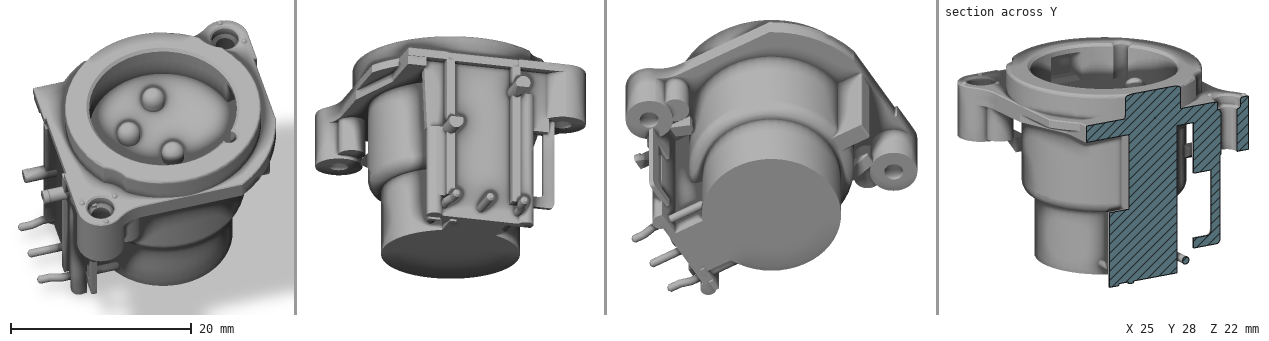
import cadquery as cq
import math

RING_TOP = 2.75
BODY_BOTTOM = -19.05
SHEET_BOTTOM = -19.25

OVERALL_LENGTH = 28.0
FLANGE_SIZE = 25.0
HALF_SIZE = FLANGE_SIZE / 2
FLANGE_SIDE = 10.92
FLANGE_UPPER_Z = -0.95
FLANGE_LOWER_Z = -1.95
EDGE_CHAMFER = 0.1
EAR_RADIUS = 2.6
TRIM_MARGIN = 0.03
ENCLOSING_HALF = HALF_SIZE + TRIM_MARGIN
EAR_OFFSET = HALF_SIZE - EAR_RADIUS
EAR_BOTTOM = -6.25
NECK_END_Y = 5.38
REAR_EDGE_Y = 12.18
REAR_STEP_X = -6.13
LOWER_FRONT_Y = -12.4
CORNER_X = -8.7
FRONT_RECESS_HALF = 4.1
FRONT_RECESS_Y = -12.25
LOWER_CORNER_Y = -6.45
SCREW_HOLE_DIAMETER = 2.1
SCREW_SEAT_DIAMETER = 3.0
SCREW_MOUTH_DIAMETER = 3.4
SCREW_SEAT_DEPTH = 1.12
BUMP_RADIUS = 0.3
BUMP_CIRCLE = 2.15
BUMP_TOP = 0.25

UPPER_RADIUS = 9.13
UPPER_BOTTOM = -11.7
UPPER_FILLET = 1.4
LOWER_RADIUS = 7.7

RING_RADIUS = 10.85
RING_FILLET = 0.35
SOCKET_RADIUS = 8.18
SOCKET_CHAMFER = 0.3
SOCKET_FLOOR = -1.4
SCALLOP_RADIUS = 3.53
KEY_RADIUS = 0.85
KEY_CENTRE = 8.37
PIN_RADIUS = 1.23
PIN_TIP = 0.67
PIN_SPACING_X = 4.03
PIN_FRONT_Y = -3.95

WINDOW_HALF_WIDTH = 2.02
WINDOW_BACK_Y = 10.22
WINDOW_TOP = 1.9
WINDOW_LEDGE_Y = 9.05
WINDOW_LEDGE_Z = -1.05
LATCH_HALF_WIDTH = 0.98
LATCH_BOTTOM = -11.62
LATCH_BACK_Y = 12.07
LATCH_FILLET = 0.25

CORE_HALF_WIDTH = 3.15
WALL_FRONT = -11.3
WALL_BACK = -10.45
WALL_LEFT_TOP = -6.55
WALL_LEFT = -6.2
WALL_RIGHT = 6.1
WALL_RIGHT_TOP = 7.92
WALL_SHOULDER_Z = -7.85
RIB_INNER = 3.33
RIB_OUTER = 4.25
RIB_FRONT = -12.55
RIB_BOTTOM = -16.9
COLUMN_RADIUS = 0.9
COLUMN_FRONT = -12.05
COLUMN_X = 5.25
LEFT_COLUMN_TOP = -8.8
RIGHT_COLUMN_TOP = -3.85

PEG_RADIUS = 0.75
PEG_X = (RIB_INNER + RIB_OUTER) / 2
PEG_END = -14.9
LEFT_PEG_Z = -8.93
RIGHT_PEG_Z = -3.78
PEG_FLAT_START = -13.15
PEG_FLAT_RISE = 0.4
PEG_LIP_LENGTH = 0.73
PEG_LIP_SHIFT = 0.15

CONTACT_RADIUS = 0.45
CONTACT_Z = -17.75
CONTACT_BACK = -6.15
CONTACT_END = HALF_SIZE - OVERALL_LENGTH
CONTACT_BASE_X = 4.25
CONTACT_TIP_X = 3.92
CONTACT_BEND_START = -12.75
CONTACT_BEND_END = -14.0
CONTACT_TIP_CHAMFER = 0.22

SHEET_FRONT = -10.58
SHEET_BACK = -10.05
SHEET_LEFT = -5.7
SHEET_RIGHT = -2.52
SHEET_TOP = -10.55
SHEET_NOTCH_LEFT = -4.42
SHEET_NOTCH_RIGHT = -3.25
HOOK_RIGHT = 8.75
HOOK_ARM_LEFT = 7.53
HOOK_BAR_TOP = -15.32
HOOK_BOTTOM = -16.52
HOOK_FILLET = 0.55

POST_RADIUS = 1.5
POST_X = -9.32
POST_Y = 6.85
POST_BOTTOM = -5.85
GUSSET_OUTER_X = -7.85
GUSSET_INNER_X = -6.45
GUSSET_NEAR_Y = 5.88
GUSSET_FAR_Y = 8.5
GUSSET_BOTTOM = -7.55


def block(x0, x1, y0, y1, z0, z1):
    """Box between two corners."""
    return cq.Workplane("XY").box(x1 - x0, y1 - y0, z1 - z0, centered=False).translate((x0, y0, z0))


def disc(radius, z0, z1, x=0.0, y=0.0):
    """Vertical cylinder."""
    return cq.Workplane("XY", origin=(x, y, z0)).circle(radius).extrude(z1 - z0)


def half_turn(shape):
    """Copy of a shape turned to the opposite corner of the flange."""
    return shape.rotate((0, 0, 0), (0, 0, 1), 180)


def on_circle_y(x):
    """Y of the point at x on the circle that trims the flange corners."""
    return math.sqrt(HALF_SIZE**2 - x**2)


def flange_outline():
    """Flange outline: two ears, two trimmed corners and a shallow front recess."""
    side_gap = FLANGE_SIDE - EAR_OFFSET
    rise = EAR_OFFSET - NECK_END_Y
    neck_radius = (side_gap**2 + rise**2 - EAR_RADIUS**2) / (2 * (EAR_RADIUS - side_gap))
    reach = neck_radius + EAR_RADIUS
    neck_x = FLANGE_SIDE + neck_radius
    join_x = EAR_OFFSET + EAR_RADIUS * (neck_x - EAR_OFFSET) / reach
    join_y = EAR_OFFSET - EAR_RADIUS * rise / reach
    half_angle = math.asin(rise / reach) / 2
    neck_mid_x = neck_x - neck_radius * math.cos(half_angle)
    neck_mid_y = NECK_END_Y + neck_radius * math.sin(half_angle)
    ear_mid = EAR_OFFSET + EAR_RADIUS / math.sqrt(2)
    corner_mid = HALF_SIZE / math.sqrt(2)
    rear_x = math.sqrt(HALF_SIZE**2 - REAR_EDGE_Y**2)
    side_y = on_circle_y(FLANGE_SIDE)
    corner_y = -on_circle_y(CORNER_X)
    left_mid_angle = (math.atan2(corner_y, CORNER_X) + math.atan2(-side_y, -FLANGE_SIDE)) / 2
    left_mid = (HALF_SIZE * math.cos(left_mid_angle), HALF_SIZE * math.sin(left_mid_angle))
    return (
        cq.Workplane("XY")
        .moveTo(-EAR_OFFSET, HALF_SIZE)
        .lineTo(REAR_STEP_X, HALF_SIZE)
        .lineTo(REAR_STEP_X, REAR_EDGE_Y)
        .lineTo(rear_x, REAR_EDGE_Y)
        .threePointArc((corner_mid, corner_mid), (FLANGE_SIDE, side_y))
        .lineTo(FLANGE_SIDE, -NECK_END_Y)
        .threePointArc((neck_mid_x, -neck_mid_y), (join_x, -join_y))
        .threePointArc((ear_mid, -ear_mid), (EAR_OFFSET, -HALF_SIZE))
        .lineTo(FRONT_RECESS_HALF, -HALF_SIZE)
        .lineTo(FRONT_RECESS_HALF, FRONT_RECESS_Y)
        .lineTo(-FRONT_RECESS_HALF, FRONT_RECESS_Y)
        .lineTo(-FRONT_RECESS_HALF, -HALF_SIZE)
        .lineTo(CORNER_X, -HALF_SIZE)
        .lineTo(CORNER_X, corner_y)
        .threePointArc(left_mid, (-FLANGE_SIDE, -side_y))
        .lineTo(-FLANGE_SIDE, NECK_END_Y)
        .threePointArc((-neck_mid_x, neck_mid_y), (-join_x, join_y))
        .threePointArc((-ear_mid, ear_mid), (-EAR_OFFSET, HALF_SIZE))
        .close()
    )


def post_and_gusset():
    """Round post beside the boss of the rear left ear, and the gusset below it."""
    post = disc(POST_RADIUS, POST_BOTTOM, 0, POST_X, POST_Y)
    gusset = (
        cq.Workplane("YZ", origin=(GUSSET_OUTER_X, 0, 0))
        .polyline([
            (GUSSET_NEAR_Y, POST_BOTTOM),
            (GUSSET_NEAR_Y, GUSSET_BOTTOM),
            (GUSSET_FAR_Y, EAR_BOTTOM),
            (GUSSET_FAR_Y, POST_BOTTOM),
        ])
        .close()
        .extrude(GUSSET_INNER_X - GUSSET_OUTER_X)
    )
    return post.union(gusset)


def flange():
    """Flange plate with ear bosses; its lower layer is cut back at the front and left corner."""
    keep = (
        cq.Workplane("XY")
        .polyline([
            (-ENCLOSING_HALF, ENCLOSING_HALF),
            (ENCLOSING_HALF, ENCLOSING_HALF),
            (ENCLOSING_HALF, WALL_BACK),
            (WALL_LEFT_TOP, WALL_BACK),
            (WALL_LEFT_TOP, LOWER_FRONT_Y),
            (CORNER_X, LOWER_FRONT_Y),
            (CORNER_X, LOWER_CORNER_Y),
            (-FLANGE_SIDE, 0),
            (-ENCLOSING_HALF, 0),
        ])
        .close()
        .extrude(FLANGE_LOWER_Z)
    )
    upper_layer = block(
        -ENCLOSING_HALF, ENCLOSING_HALF, -ENCLOSING_HALF, ENCLOSING_HALF, FLANGE_UPPER_Z, 0
    )
    boss = disc(EAR_RADIUS + TRIM_MARGIN, EAR_BOTTOM, 0, -EAR_OFFSET, EAR_OFFSET)
    ear_support = boss.union(post_and_gusset())
    keep = keep.union(upper_layer).union(ear_support).union(half_turn(ear_support))
    blank = flange_outline().extrude(GUSSET_BOTTOM).faces(">Z").chamfer(EDGE_CHAMFER)
    return blank.intersect(keep)


def ear_hole():
    """Screw hole of the rear left ear: chamfered mouth, seat and a conical step to the hole."""
    hole = SCREW_HOLE_DIAMETER / 2
    seat = SCREW_SEAT_DIAMETER / 2
    mouth = SCREW_MOUTH_DIAMETER / 2
    return (
        cq.Workplane("XZ")
        .polyline([
            (0, EAR_BOTTOM),
            (hole, EAR_BOTTOM),
            (hole, -SCREW_SEAT_DEPTH - (seat - hole) / 2),
            (seat, -SCREW_SEAT_DEPTH),
            (seat, seat - mouth),
            (mouth, 0),
            (0, 0),
        ])
        .close()
        .revolve(360, (0, 0, 0), (0, 1, 0))
        .translate((-EAR_OFFSET, EAR_OFFSET, 0))
    )


def ear_bumps():
    """Three small domes around the rear left screw hole."""
    centre = (-EAR_OFFSET, EAR_OFFSET, BUMP_TOP - BUMP_RADIUS)
    return cq.Workplane("XY", origin=centre).polarArray(BUMP_CIRCLE, 60, 360, 3).sphere(BUMP_RADIUS)


def ring():
    """Raised ring with a scalloped rim in front of each ear."""
    body = disc(RING_RADIUS, FLANGE_UPPER_Z, RING_TOP)
    scallop = disc(SCALLOP_RADIUS, 0, RING_TOP, -EAR_OFFSET, EAR_OFFSET)
    body = body.cut(scallop).cut(half_turn(scallop))
    return body.faces(">Z").edges().fillet(RING_FILLET)


def socket():
    """Socket cavity with a chamfered mouth and a round keyway."""
    bore = disc(SOCKET_RADIUS, SOCKET_FLOOR, RING_TOP)
    key_offset = KEY_CENTRE / math.sqrt(2)
    bore = bore.union(disc(KEY_RADIUS, SOCKET_FLOOR, RING_TOP, key_offset, key_offset))
    mouth = bore.faces(">Z").wires().toPending().workplane().offset2D(SOCKET_CHAMFER)
    return bore.union(mouth.extrude(-SOCKET_CHAMFER, taper=45))


def latch_window():
    """Window in the rear wall of the socket, with a sloped sill."""
    return (
        cq.Workplane("YZ", origin=(-WINDOW_HALF_WIDTH, 0, 0))
        .polyline([
            (0, SOCKET_FLOOR),
            (SOCKET_RADIUS, SOCKET_FLOOR),
            (WINDOW_LEDGE_Y, WINDOW_LEDGE_Z),
            (WINDOW_BACK_Y, WINDOW_LEDGE_Z),
            (WINDOW_BACK_Y, WINDOW_TOP),
            (0, WINDOW_TOP),
        ])
        .close()
        .extrude(2 * WINDOW_HALF_WIDTH)
    )


def contact_pin(x, y):
    """Round-nosed pin standing on the socket floor."""
    pin = disc(PIN_RADIUS, SOCKET_FLOOR, PIN_TIP - PIN_RADIUS, x, y)
    return pin.union(cq.Workplane("XY").sphere(PIN_RADIUS).translate((x, y, PIN_TIP - PIN_RADIUS)))


def round_body():
    """Stepped round body under the flange."""
    upper = disc(UPPER_RADIUS, UPPER_BOTTOM, FLANGE_UPPER_Z).faces("<Z").edges().fillet(UPPER_FILLET)
    return upper.union(disc(LOWER_RADIUS, BODY_BOTTOM, UPPER_BOTTOM))


def latch_block():
    """Block for the latch behind the round body."""
    body = block(-LATCH_HALF_WIDTH, LATCH_HALF_WIDTH, 0, LATCH_BACK_Y, LATCH_BOTTOM, FLANGE_UPPER_Z)
    return body.edges(">Y and (<Z or |Z)").fillet(LATCH_FILLET)


def front_wall():
    """Front wall joined to the round body by a core block."""
    wall = (
        cq.Workplane("XZ", origin=(0, WALL_BACK, 0))
        .polyline([
            (WALL_LEFT_TOP, FLANGE_UPPER_Z),
            (WALL_RIGHT_TOP, FLANGE_UPPER_Z),
            (WALL_RIGHT_TOP, WALL_SHOULDER_Z),
            (WALL_RIGHT, WALL_SHOULDER_Z),
            (WALL_RIGHT, BODY_BOTTOM),
            (-COLUMN_X, BODY_BOTTOM),
            (-COLUMN_X, LEFT_COLUMN_TOP),
            (WALL_LEFT, LEFT_COLUMN_TOP),
        ])
        .close()
        .extrude(WALL_BACK - WALL_FRONT)
    )
    top_fill = block(WALL_LEFT_TOP, WALL_RIGHT_TOP, WALL_FRONT, WALL_BACK, FLANGE_LOWER_Z, FLANGE_UPPER_Z)
    core = block(-CORE_HALF_WIDTH, CORE_HALF_WIDTH, WALL_BACK, 0, BODY_BOTTOM, FLANGE_UPPER_Z)
    return wall.union(top_fill).union(core)


def rib_and_column(side, column_top):
    """Proud rib and round-fronted column on one side (-1 left, +1 right) of the front wall."""
    column_back = block(-HALF_SIZE, HALF_SIZE, SHEET_FRONT, 0, BODY_BOTTOM, 0)
    inner, outer = sorted((side * RIB_INNER, side * RIB_OUTER))
    rib = block(inner, outer, RIB_FRONT, WALL_BACK, RIB_BOTTOM, FLANGE_UPPER_Z)
    column = disc(COLUMN_RADIUS, BODY_BOTTOM, column_top, side * COLUMN_X, COLUMN_FRONT + COLUMN_RADIUS)
    column = column.cut(column_back)
    near, far = sorted((side * RIB_OUTER, side * COLUMN_X))
    infill = block(near, far, COLUMN_FRONT, WALL_BACK, RIB_BOTTOM, column_top)
    return rib.union(column).union(infill)


def peg(side, z, lip_direction):
    """Locating peg with a sloped flat on one side of its tip and a snap lip on the other."""
    start = cq.Workplane("XZ", origin=(0, WALL_BACK, 0))
    body = start.circle(PEG_RADIUS).extrude(WALL_BACK - PEG_END)
    lip_start = PEG_END + PEG_LIP_LENGTH
    lip = (
        cq.Workplane("XZ", origin=(side * PEG_LIP_SHIFT, lip_start, -PEG_LIP_SHIFT))
        .circle(PEG_RADIUS)
        .extrude(PEG_LIP_LENGTH)
        .faces(">Y")
        .chamfer(PEG_LIP_SHIFT)
    )
    flat = (
        cq.Workplane("YZ", origin=(-2 * PEG_RADIUS, 0, 0))
        .polyline([
            (PEG_FLAT_START, PEG_RADIUS),
            (PEG_END, PEG_FLAT_RISE),
            (PEG_END, PEG_RADIUS),
        ])
        .close()
        .extrude(4 * PEG_RADIUS)
    )
    shape = body.union(lip).cut(flat)
    if lip_direction > 0:
        shape = shape.mirror("XY")
    return shape.translate((side * PEG_X, 0, z))


def solder_contact(base_x, tip_x):
    """Round solder contact, bent sideways in front of the wall when its two ends differ."""
    start = cq.Workplane("XZ", origin=(base_x, CONTACT_BACK, CONTACT_Z)).circle(CONTACT_RADIUS)
    if base_x == tip_x:
        rod = start.extrude(CONTACT_BACK - CONTACT_END)
    else:
        path = cq.Workplane("XY", origin=(0, 0, CONTACT_Z)).polyline([
            (base_x, CONTACT_BACK),
            (base_x, CONTACT_BEND_START),
            (tip_x, CONTACT_BEND_END),
            (tip_x, CONTACT_END),
        ])
        rod = start.sweep(path, transition="right")
    return rod.faces("<Y or >Y").chamfer(CONTACT_TIP_CHAMFER)


def ground_tab():
    """Flat tab at the left, notched at its lower end."""
    tab = block(SHEET_LEFT, SHEET_RIGHT, SHEET_FRONT, SHEET_BACK, SHEET_BOTTOM, SHEET_TOP)
    notch = block(SHEET_NOTCH_LEFT, SHEET_NOTCH_RIGHT, SHEET_FRONT, SHEET_BACK, SHEET_BOTTOM, BODY_BOTTOM)
    return tab.cut(notch)


def ground_hook():
    """L-shaped flat hook at the right, behind the front wall."""
    left = WALL_RIGHT - COLUMN_RADIUS
    plate = block(left, HOOK_RIGHT, SHEET_FRONT, SHEET_BACK, HOOK_BOTTOM, FLANGE_UPPER_Z)
    gap = block(left, HOOK_ARM_LEFT, SHEET_FRONT, SHEET_BACK, HOOK_BAR_TOP, WALL_SHOULDER_Z)
    plate = plate.edges("|Y and >X and <Z").fillet(HOOK_FILLET)
    return plate.cut(gap.edges("|Y and >X and <Z").fillet(HOOK_FILLET))


housing = flange().union(round_body()).union(ring()).union(latch_block()).union(front_wall())
housing = housing.union(rib_and_column(-1, LEFT_COLUMN_TOP)).union(rib_and_column(1, RIGHT_COLUMN_TOP))

housing = housing.cut(socket()).cut(latch_window())
housing = housing.cut(ear_hole()).cut(half_turn(ear_hole()))

housing = housing.union(ear_bumps()).union(half_turn(ear_bumps()))
housing = housing.union(peg(-1, LEFT_PEG_Z, -1)).union(peg(1, RIGHT_PEG_Z, 1))
housing = housing.union(ground_tab()).union(ground_hook())
for pin_x, pin_y in ((-PIN_SPACING_X, 0), (PIN_SPACING_X, 0), (0, PIN_FRONT_Y)):
    housing = housing.union(contact_pin(pin_x, pin_y))
for pin_side in (-1, 0, 1):
    housing = housing.union(solder_contact(pin_side * CONTACT_BASE_X, pin_side * CONTACT_TIP_X))

result = housing